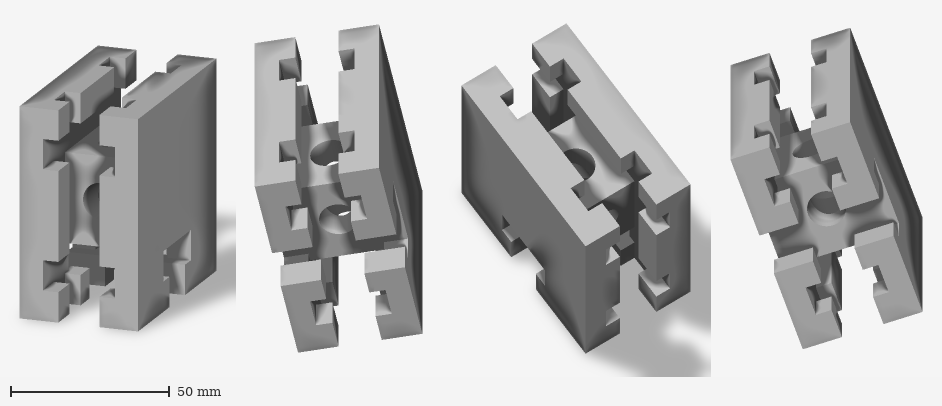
import cadquery as cq

width = 40.0
side = 70.0

neck_width = 13.85
head_width = 24.3
neck_depth = 10.0
slot_depth = 2 * neck_depth

bore_diameter = 12.25


def box_between(x_size, y_size, z_bottom, z_top):
    """Box centred on the Z axis, spanning the given heights."""
    return (
        cq.Workplane("XY")
        .workplane(offset=z_bottom)
        .rect(x_size, y_size)
        .extrude(z_top - z_bottom)
    )


def bottom_slot():
    """T-slot running along Y, opening through the bottom face."""
    bottom = -side / 2
    neck = box_between(neck_width, side, bottom, bottom + slot_depth)
    head = box_between(head_width, side, bottom + neck_depth, bottom + slot_depth)
    return neck.union(head)


result = cq.Workplane("XY").box(width, side, side)

for angle in (0, 90, 180, 270):
    result = result.cut(bottom_slot().rotate((0, 0, 0), (1, 0, 0), angle))

result = result.cut(bottom_slot().rotate((0, 0, 0), (0, 0, 1), 90))

for plane in ("XY", "XZ"):
    bore = cq.Workplane(plane).circle(bore_diameter / 2).extrude(side / 2, both=True)
    result = result.cut(bore)